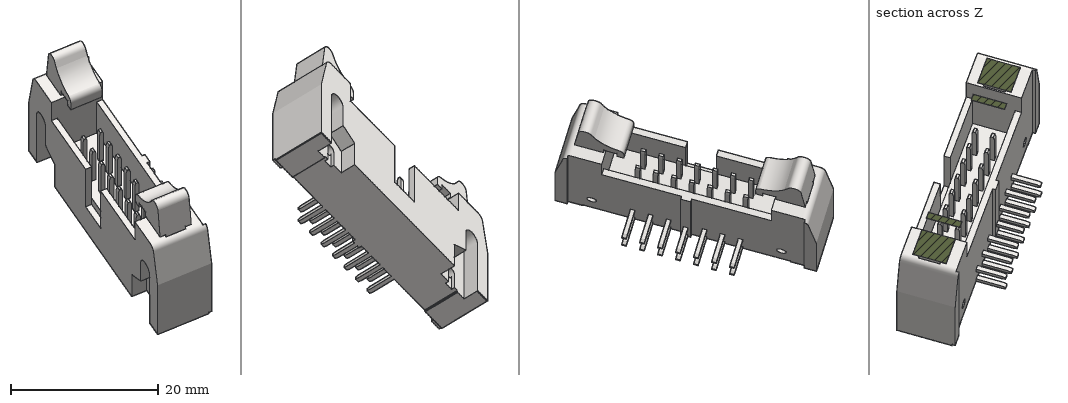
import cadquery as cq


length = 36.98
body_depth = 7.9
body_bottom = 0.35
wall_top = 13.3
wall_thickness = 0.92
cavity_floor = 6.77
notch_half_width = 2.17
notch_bottom = 5.43

half_length = length / 2
tower_top = 17.08
tower_inner_x = 11.98
taper_start_z = 10.42
taper_top_x = 17.17
tower_round = 1.0
rear_rail_depth = 0.44
rear_rail_inner_x = 16.74
key_half_width = 0.72

foot_inner_x = 14.66
foot_chamfer = 0.1

relief_depth = 2.3
relief_outer_x = 16.2
relief_inner_x = 13.64
relief_wide_x = 11.08
relief_top = 11.47
relief_slope_top = 6.31
relief_slope_bottom = 5.0
pivot_x = 13.4
pivot_z = 3.13
pivot_radius = 0.66
groove_depth = 0.5

lever_width = 4.8
neck_width = 3.05
lever_outer_x = 16.31
lever_inner_x = 12.18
lever_bottom = 17.5
lever_top = 23.2
lever_peak_x = 14.75
lever_shoulder = (15.72, 22.4)
peak_round_end = (13.9, 22.7)
thumb_curve_start = (13.41, 21.86)
thumb_curve_middle = (11.9, 20.42)
thumb_curve_end = (9.9, 19.7)
hook_corner_middle = (9.5, 19.4)
hook_corner_end_z = 18.83
hook_roof = 18.38
hook_inner_x = 10.3
hook_tip_x = 9.31

pin_columns = 7
pin_rows = 2
pitch = 2.54
pin_size = 0.64
pin_tip_length = 0.5
pin_tip_thickness = 0.34
pin_top = 12.8
pin_rear_y = 12.1
lower_tail_z = body_bottom + pin_size / 2
mid_y = body_depth / 2


def box(x0, x1, y0, y1, z0, z1):
    return cq.Workplane("XY").box(x1 - x0, y1 - y0, z1 - z0, centered=False).translate((x0, y0, z0))


def extrude_along_y(outline, y0, y1):
    """Extrude an outline drawn in X and Z from y0 to y1."""
    return outline.extrude(y0 - y1).translate((0, y0, 0))


def make_housing():
    half = box(0, tower_inner_x, 0, body_depth, body_bottom, wall_top)
    tower_outline = (
        cq.Workplane("XZ")
        .moveTo(tower_inner_x, body_bottom)
        .lineTo(half_length, body_bottom)
        .lineTo(half_length, taper_start_z)
        .lineTo(taper_top_x, tower_top)
        .lineTo(tower_inner_x, tower_top)
        .close()
    )
    rear = body_depth + rear_rail_depth
    tower = extrude_along_y(tower_outline, 0, rear)
    top_corner = cq.selectors.NearestToPointSelector((taper_top_x, rear / 2, tower_top))
    tower = tower.edges(top_corner).fillet(tower_round)
    tower = tower.cut(box(0, rear_rail_inner_x, body_depth, rear, 0, lever_top))
    foot = box(foot_inner_x, half_length, 0, body_depth, 0, body_bottom)
    foot = foot.faces("<Z").edges().chamfer(foot_chamfer)
    half = half.union(tower).union(foot)
    body = half.union(half.mirror("YZ"))
    key = box(-key_half_width, key_half_width, mid_y, rear, body_bottom, wall_top)
    cavity = box(-tower_inner_x, tower_inner_x, wall_thickness, body_depth - wall_thickness,
                 cavity_floor, wall_top)
    notch = box(-notch_half_width, notch_half_width, 0, wall_thickness, notch_bottom, wall_top)
    return body.union(key).cut(cavity).cut(notch)


def make_relief():
    """Cutter for the front relief, pivot hole and groove of the +X tower."""
    radius = (relief_outer_x - relief_inner_x) / 2
    spring_z = relief_top - radius
    outline = (
        cq.Workplane("XZ")
        .moveTo(relief_outer_x, 0)
        .lineTo(relief_outer_x, spring_z)
        .threePointArc((relief_outer_x - radius, relief_top), (relief_inner_x, spring_z))
        .lineTo(relief_inner_x, relief_slope_top)
        .lineTo(relief_wide_x, relief_slope_bottom)
        .lineTo(relief_wide_x, 0)
        .close()
    )
    relief = extrude_along_y(outline, 0, relief_depth)
    hole = extrude_along_y(cq.Workplane("XZ").center(pivot_x, pivot_z).circle(pivot_radius), 0, body_depth)
    groove = box(pivot_x - pivot_radius, pivot_x + pivot_radius,
                 relief_depth, relief_depth + groove_depth, 0, pivot_z)
    return relief.union(hole).union(groove)


def make_lever():
    """Ejector lever of the +X tower, with its narrower neck."""
    outline = (
        cq.Workplane("XZ")
        .moveTo(lever_outer_x, lever_bottom)
        .lineTo(*lever_shoulder)
        .threePointArc((lever_peak_x, lever_top), peak_round_end)
        .lineTo(*thumb_curve_start)
        .threePointArc(thumb_curve_middle, thumb_curve_end)
        .threePointArc(hook_corner_middle, (hook_tip_x, hook_corner_end_z))
        .lineTo(hook_tip_x, lever_bottom)
        .lineTo(hook_inner_x, lever_bottom)
        .lineTo(hook_inner_x, hook_roof)
        .lineTo(lever_inner_x, hook_roof)
        .lineTo(lever_inner_x, lever_bottom)
        .close()
    )
    head = extrude_along_y(outline, mid_y - lever_width / 2, mid_y + lever_width / 2)
    shoulder_x, shoulder_z = lever_shoulder
    outer_slope = (lever_outer_x - shoulder_x) / (shoulder_z - lever_bottom)
    neck_base_x = lever_outer_x + outer_slope * (lever_bottom - tower_top)
    neck_outline = (
        cq.Workplane("XZ")
        .moveTo(lever_inner_x, tower_top)
        .lineTo(neck_base_x, tower_top)
        .lineTo(*lever_shoulder)
        .lineTo(lever_inner_x, hook_roof)
        .close()
    )
    neck = extrude_along_y(neck_outline, mid_y - neck_width / 2, mid_y + neck_width / 2)
    return head.union(neck)


def make_pin(pin_length):
    """Upright pin standing on the origin, its tip tapered in Y."""
    half = pin_size / 2
    half_tip = pin_tip_thickness / 2
    shoulder = pin_length - pin_tip_length
    points = [(-half, 0), (half, 0), (half, shoulder), (half_tip, pin_length),
              (-half_tip, pin_length), (-half, shoulder)]
    return cq.Workplane("YZ").polyline(points).close().extrude(half, both=True)


def make_pins():
    upright = make_pin(pin_top - notch_bottom)
    tail = make_pin(pin_rear_y - mid_y).rotate((0, 0, 0), (1, 0, 0), -90)
    pins = []
    for column in range(pin_columns):
        x = (column - (pin_columns - 1) / 2) * pitch
        for row in range(pin_rows):
            y = mid_y + (row - (pin_rows - 1) / 2) * pitch
            pins.append(upright.translate((x, y, notch_bottom)))
            pins.append(tail.translate((x, mid_y, lower_tail_z + row * pitch)))
    return pins


result = make_housing()
relief = make_relief()
lever = make_lever()
result = result.cut(relief).cut(relief.mirror("YZ"))
result = result.union(lever).union(lever.mirror("YZ"))
for pin in make_pins():
    result = result.union(pin)